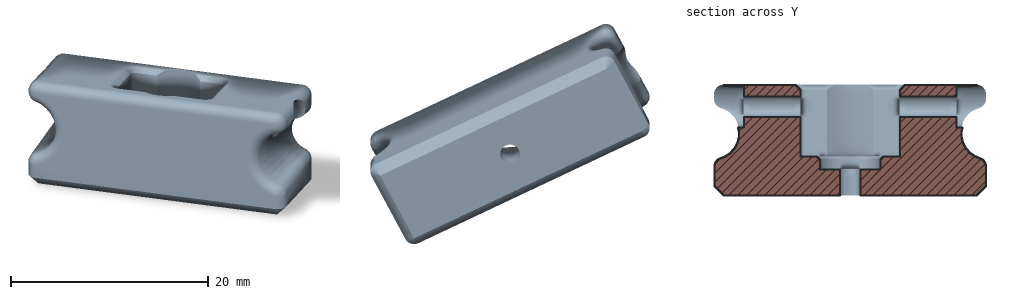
import cadquery as cq

length = 27.6
width = 9.6
height = 11.2
edge_radius = 1.0
chamfer_gap = 0.005
bottom_chamfer = edge_radius - chamfer_gap

groove_z = 6.2
groove_front_radius = 3.0
groove_back_radius = 2.0

cross_hole_z = 9.0
cross_hole_diameter = 2.0
counterbore_diameter = 4.1
counterbore_depth = 3.0

pocket_length = 10.02
pocket_width = 5.25
pocket_corner_radius = 0.41
pocket_chamfer = 0.5
pocket_floor_z = 4.0
pocket_depth = height - pocket_floor_z

well_diameter = 7.0
cone_top_diameter = 6.85
cone_bottom_diameter = 6.15
cone_depth = (cone_top_diameter - cone_bottom_diameter) / 2
cone_bottom_z = pocket_floor_z - cone_depth
seat_diameter = 6.05
seat_depth = 1.0
seat_z = cone_bottom_z - seat_depth
bottom_hole_diameter = 2.0


def end_groove(side):
    """Cone along Y with its axis in an end face; side is -1 or 1."""
    plane = cq.Workplane("XY", origin=(side * length / 2, 0, groove_z))
    outline = plane.moveTo(0, -width / 2).lineTo(side * groove_front_radius, -width / 2)
    outline = outline.lineTo(side * groove_back_radius, width / 2).lineTo(0, width / 2).close()
    return outline.revolve(360, (0, 0, 0), (0, 1, 0))


def grooved_block():
    """Block with end grooves, rounded everywhere except for its chamfered underside."""
    block = cq.Workplane("XY").box(length, width, height, centered=(True, True, False))
    for side in (-1, 1):
        block = block.cut(end_groove(side))
    block = block.edges("not(<Z)").fillet(edge_radius)
    return block.faces("<Z").chamfer(bottom_chamfer)


def cut_pocket(block):
    """Cut the rectangular pocket and chamfer its rim."""
    outline = cq.Workplane("XY").workplane(offset=pocket_floor_z).rect(pocket_length, pocket_width)
    cavity = outline.extrude(pocket_depth).edges("|Z").fillet(pocket_corner_radius)
    reach_x = pocket_length / 2 + pocket_chamfer
    reach_y = pocket_width / 2 + pocket_chamfer
    rim_region = cq.selectors.BoxSelector(
        (-reach_x, -reach_y, height - pocket_chamfer),
        (reach_x, reach_y, height + pocket_chamfer),
    )
    return block.cut(cavity).faces(">Z").edges(rim_region).chamfer(pocket_chamfer)


def upright_cylinder(diameter, z_bottom, z_top):
    """Cylinder on the Z axis."""
    return cq.Workplane("XY").workplane(offset=z_bottom).circle(diameter / 2).extrude(z_top - z_bottom)


def well():
    """Round well that narrows through a cone to a flat seat, with a hole down through the block."""
    cone = cq.Solid.makeCone(
        cone_bottom_diameter / 2,
        cone_top_diameter / 2,
        cone_depth,
        pnt=cq.Vector(0, 0, cone_bottom_z),
    )
    shape = upright_cylinder(well_diameter, pocket_floor_z, height)
    shape = shape.union(cq.Workplane(obj=cone))
    shape = shape.union(upright_cylinder(seat_diameter, seat_z, cone_bottom_z))
    return shape.union(upright_cylinder(bottom_hole_diameter, 0, seat_z))


def x_cylinder(diameter, x_start, x_end):
    """Cylinder along X on the axis of the screw hole."""
    plane = cq.Workplane("YZ", origin=(x_start, 0, cross_hole_z))
    return plane.circle(diameter / 2).extrude(x_end - x_start)


def cross_hole():
    """Hole through the length of the block with a flat counterbore at each end."""
    end_x = length / 2
    floor_x = end_x - counterbore_depth
    shape = x_cylinder(cross_hole_diameter, -end_x, end_x)
    shape = shape.union(x_cylinder(counterbore_diameter, -end_x, -floor_x))
    return shape.union(x_cylinder(counterbore_diameter, floor_x, end_x))


result = cut_pocket(grooved_block()).cut(well()).cut(cross_hole())